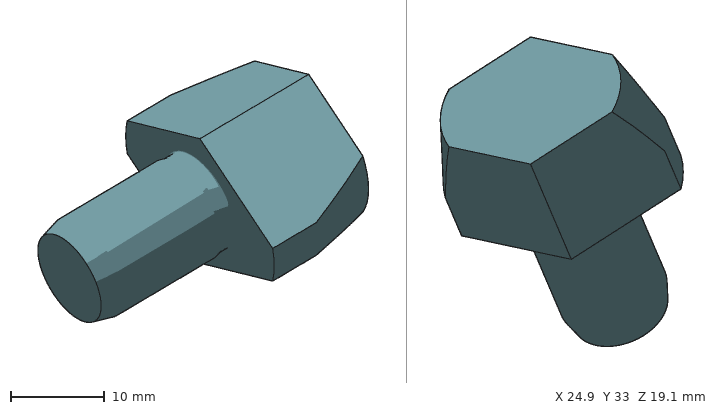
import cadquery as cq
import math

TOTAL_LENGTH = 33.0
HEAD_LENGTH = 15.0
SHANK_LENGTH = TOTAL_LENGTH - HEAD_LENGTH

HEAD_HEIGHT = 19.15
LAND_DIAMETER = 24.95
LAND_LENGTH = 6.0
FLANK_ANGLE = 30.0
TAPER_ANGLE = 15.0

SHANK_DIAMETER = 12.0
TIP_LENGTH = 2.55

NECK_DIAMETER = 11.6
UNDERCUT_LENGTH = 2.0
UNDERCUT_RAMP_ANGLE = 15.0
FACE_RECESS_DIAMETER = 13.6
FACE_RECESS_ANGLE = 8.0
NECK_FILLET = 0.2


def slope(angle):
    return math.tan(math.radians(angle))


def revolve_about_y(profile):
    return profile.close().revolve(360, (0, 0, 0), (0, 1, 0))


def make_head():
    """Rhombic prism trimmed by a cylinder and a cone on the pin axis."""
    half_height = HEAD_HEIGHT / 2
    half_width = half_height / slope(FLANK_ANGLE)
    rhombus = (
        cq.Workplane("XZ")
        .polyline([(half_width, 0), (0, half_height), (-half_width, 0), (0, -half_height)])
        .close()
        .extrude(-HEAD_LENGTH)
    )
    land_radius = LAND_DIAMETER / 2
    end_radius = land_radius - (HEAD_LENGTH - LAND_LENGTH) * slope(TAPER_ANGLE)
    envelope = revolve_about_y(
        cq.Workplane("XY")
        .lineTo(land_radius, 0)
        .lineTo(land_radius, LAND_LENGTH)
        .lineTo(end_radius, HEAD_LENGTH)
        .lineTo(0, HEAD_LENGTH)
    )
    return rhombus.intersect(envelope)


def recess_depth(radius):
    """Depth of the conical face recess at a given radius."""
    return (FACE_RECESS_DIAMETER / 2 - radius) * slope(FACE_RECESS_ANGLE)


def make_shank():
    """Shank with its undercut neck and a fillet that flares into the face recess."""
    radius = SHANK_DIAMETER / 2
    neck_radius = NECK_DIAMETER / 2
    ramp_length = (radius - neck_radius) / slope(UNDERCUT_RAMP_ANGLE)
    tip_radius = radius - TIP_LENGTH * slope(TAPER_ANGLE)

    recess_angle = math.radians(FACE_RECESS_ANGLE)
    center_x = neck_radius + NECK_FILLET
    center_y = recess_depth(center_x) - NECK_FILLET / math.cos(recess_angle)
    cone_direction = math.pi / 2 - recess_angle
    middle_direction = (cone_direction + math.pi) / 2

    def fillet_point(direction):
        return (
            center_x + NECK_FILLET * math.cos(direction),
            center_y + NECK_FILLET * math.sin(direction),
        )

    return revolve_about_y(
        cq.Workplane("XY")
        .lineTo(0, -SHANK_LENGTH)
        .lineTo(tip_radius, -SHANK_LENGTH)
        .lineTo(radius, TIP_LENGTH - SHANK_LENGTH)
        .lineTo(radius, -UNDERCUT_LENGTH)
        .lineTo(neck_radius, ramp_length - UNDERCUT_LENGTH)
        .lineTo(neck_radius, center_y)
        .threePointArc(fillet_point(middle_direction), fillet_point(cone_direction))
        .lineTo(0, recess_depth(0))
    )


def make_face_recess():
    """Shallow cone cut into the seating face; the shank refills its middle."""
    return revolve_about_y(
        cq.Workplane("XY")
        .lineTo(FACE_RECESS_DIAMETER / 2, 0)
        .lineTo(0, recess_depth(0))
    )


result = make_head().cut(make_face_recess()).union(make_shank())